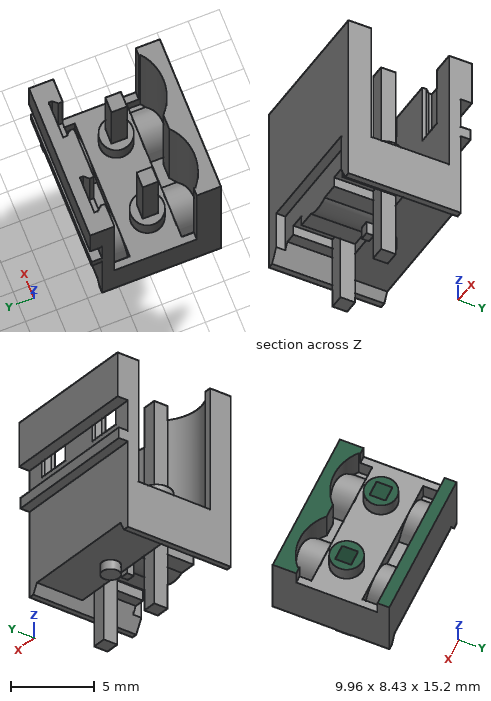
import cadquery as cq
import math


width = 9.96
height = 12.02
body_depth = 7.66
pitch = 5.08
pin_y = 3.78
contact_x = [-pitch / 2, pitch / 2]

pin_size = 1.0
pin_bottom_z = -3.18
pin_top_z = 11.1

floor_z = 3.48
front_wall = 1.56
back_wall = 0.80
cavity_back_y = body_depth - back_wall

lip_depth = 0.77
lip_height = 3.10
rail_depth = 0.67
rail_height = 0.75
rail_bottom_z = 6.02

slot_narrow = 1.83
slot_wide = 2.36
slot_neck = 0.28
slot_rim = 0.22
slot_bottom_z = 7.84

recess_width = 8.98
back_recess_front_y = cavity_back_y - 1.18
front_recess_back_y = 2.34
hump_radius = 1.67
hump_arc_half_width = 1.29
hump_half_width = 1.67

flank_angle = math.asin(hump_arc_half_width / hump_radius)
hump_arc_drop = hump_radius * (1 - math.cos(flank_angle))
recess_depth = hump_arc_drop + (hump_half_width - hump_arc_half_width) * math.tan(flank_angle)
recess_floor_z = floor_z - recess_depth

scallop_radius = 3.04

collar_radius = 1.06
collar_height = 1.50

relief_width = 8.12
relief_depth = 0.62
relief_top_z = 3.58

skirt_foot = 0.40
skirt_slope = 0.56
front_ceiling_z = 1.40
rear_ceiling_z = 0.66
rear_start_y = pin_y + pin_size / 2
pin_slot_top_z = 2.10

bump_half_width = 0.86
bump_height = 0.22
rib_width = 0.60
rib_length = 0.50
rib_bottom_z = 0.32
foot_radius = 0.63
foot_y = rear_start_y + 1.0


def block(x, size_x, y0, y1, z0, z1):
    """Axis-aligned block centred on x."""
    sized = cq.Workplane("XY").box(size_x, y1 - y0, z1 - z0, centered=(True, False, False))
    return sized.translate((x, y0, z0))


def cylinder(x, y, radius, z0, z1):
    """Upright cylinder from z0 to z1."""
    return cq.Workplane("XY", origin=(x, y, z0)).circle(radius).extrude(z1 - z0)


def dovetail_slot(x):
    """Slot open to the cavity and the top, wider at its back than at its mouth."""
    mouth = slot_narrow / 2
    back = slot_wide / 2
    return (
        cq.Workplane("XY", origin=(x, cavity_back_y, slot_bottom_z))
        .moveTo(-mouth, 0)
        .lineTo(mouth, 0)
        .lineTo(mouth, slot_neck)
        .lineTo(back, back_wall - slot_rim)
        .lineTo(back, back_wall)
        .lineTo(-back, back_wall)
        .lineTo(-back, back_wall - slot_rim)
        .lineTo(-mouth, slot_neck)
        .close()
        .extrude(height - slot_bottom_z)
    )


def hump(x, y0, y1):
    """Arched ridge along Y, its crown level with the cavity floor."""
    return (
        cq.Workplane("XZ", origin=(x, y0, floor_z))
        .moveTo(-hump_half_width, -recess_depth)
        .lineTo(-hump_arc_half_width, -hump_arc_drop)
        .threePointArc((0, 0), (hump_arc_half_width, -hump_arc_drop))
        .lineTo(hump_half_width, -recess_depth)
        .close()
        .extrude(y0 - y1)
    )


def back_recess():
    """Floor recess along the back wall, with the humps left standing."""
    recess = block(0, recess_width, back_recess_front_y, cavity_back_y, recess_floor_z, floor_z)
    for x in contact_x:
        recess = recess.cut(hump(x, back_recess_front_y, cavity_back_y))
    return recess


def front_recess():
    """Floor recess along the front wall and the scallops that rise from it to the top."""
    recess = block(0, recess_width, front_wall, front_recess_back_y, recess_floor_z, height)
    for x in contact_x:
        recess = recess.union(cylinder(x, pin_y, scallop_radius, recess_floor_z, height))
    recess = recess.intersect(block(0, recess_width, 0, front_recess_back_y, recess_floor_z, height))
    for x in contact_x:
        recess = recess.cut(hump(x, 0, front_recess_back_y))
    return recess


def channel(ceiling_z, y0, y1):
    """Underside channel with sloped sides."""
    bottom = width / 2 - skirt_foot
    top = bottom - skirt_slope * ceiling_z
    return (
        cq.Workplane("XZ", origin=(0, y0, 0))
        .polyline([(-bottom, 0), (bottom, 0), (top, ceiling_z), (-top, ceiling_z)])
        .close()
        .extrude(y0 - y1)
    )


def ceiling_bump():
    """Shallow round bump hanging from the front ceiling."""
    return (
        cq.Workplane("XZ", origin=(0, relief_depth, front_ceiling_z))
        .moveTo(-bump_half_width, 0)
        .threePointArc((0, -bump_height), (bump_half_width, 0))
        .close()
        .extrude(relief_depth - rear_start_y)
    )


def make_pin(x):
    """Straight square pin."""
    half = pin_size / 2
    return block(x, pin_size, pin_y - half, pin_y + half, pin_bottom_z, pin_top_z)


def make_housing():
    body = block(0, width, 0, body_depth, 0, height)
    body = body.union(block(0, width, body_depth, body_depth + lip_depth, height - lip_height, height))
    rail_top_z = rail_bottom_z + rail_height
    body = body.union(block(0, width, body_depth, body_depth + rail_depth, rail_bottom_z, rail_top_z))
    body = body.cut(block(0, width, front_wall, cavity_back_y, floor_z, height))

    body = body.cut(back_recess()).cut(front_recess())

    body = body.cut(block(0, relief_width, 0, relief_depth, 0, relief_top_z))
    body = body.cut(channel(rear_ceiling_z, 0, body_depth))
    body = body.cut(channel(front_ceiling_z, 0, rear_start_y))
    body = body.union(ceiling_bump())
    rib_front_y = rear_start_y - rib_length
    body = body.union(block(0, rib_width, rib_front_y, rear_start_y, rib_bottom_z, front_ceiling_z))
    body = body.union(cylinder(0, foot_y, foot_radius, 0, rear_ceiling_z))

    for x in contact_x:
        body = body.union(cylinder(x, pin_y, collar_radius, floor_z, floor_z + collar_height))
        body = body.cut(dovetail_slot(x))
        body = body.cut(block(x, pin_size, 0, pin_y, 0, pin_slot_top_z))
        body = body.cut(make_pin(x))
    return body


housing = make_housing()
pins = [make_pin(x) for x in contact_x]

result = cq.Compound.makeCompound([housing.val(), *[pin.val() for pin in pins]])